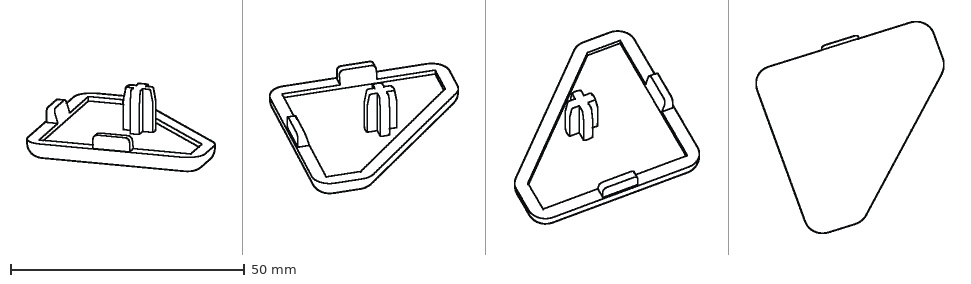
import cadquery as cq

side = 40.0
plate_height = 3.9
diagonal_sum = 51.85
corner_radius = 4.0
bottom_radius = 3.0

rim_width = 2.9
recess_depth = 1.0

total_height = 12.5
post_radius = 3.5
post_top_radius = 2.95
arm_width = 2.1
taper_start = 9.5
post_top_fillet = 0.5

catch_length = 8.25
catch_height = 3.1
catch_setback = 0.3
catch_top_width = 1.7
catch_corner_radius = 1.0

center = side / 2
recess_floor = plate_height - recess_depth


def make_plate():
    short_side = diagonal_sum - side
    outline = [(0, 0), (side, 0), (side, short_side), (short_side, side), (0, side)]
    plate = cq.Workplane("XY").polyline(outline).close().extrude(plate_height)
    return plate.edges("|Z").fillet(corner_radius).faces("<Z").edges().fillet(bottom_radius)


def make_recess():
    low = rim_width
    high = side - rim_width
    corner = diagonal_sum - rim_width * 2**0.5 - high
    outline = [(low, low), (high, low), (high, corner), (corner, high), (low, high)]
    return cq.Workplane("XY").workplane(offset=recess_floor).polyline(outline).close().extrude(recess_depth)


def make_post():
    envelope = (
        cq.Workplane("XZ")
        .moveTo(0, recess_floor)
        .lineTo(post_radius, recess_floor)
        .lineTo(post_radius, taper_start)
        .lineTo(post_top_radius, total_height)
        .lineTo(0, total_height)
        .close()
        .revolve(360, (0, 0), (0, 1))
        .faces(">Z")
        .edges()
        .fillet(post_top_fillet)
    )
    height = total_height - recess_floor
    base = cq.Workplane("XY").workplane(offset=recess_floor)
    arm_x = base.rect(2 * post_radius, arm_width).extrude(height)
    arm_y = base.rect(arm_width, 2 * post_radius).extrude(height)
    return envelope.intersect(arm_x.union(arm_y)).translate((center, center, 0))


def make_catch():
    """Catch on the x = 0 edge; its inner face slopes down to the inside of the rim."""
    top = plate_height + catch_height
    profile = [
        (catch_setback, plate_height),
        (rim_width, plate_height),
        (catch_setback + catch_top_width, top),
        (catch_setback, top),
    ]
    wedge = cq.Workplane("XZ").polyline(profile).close().extrude(catch_length / 2, both=True)
    rounded_block = (
        cq.Workplane("XY")
        .workplane(offset=plate_height)
        .rect(2 * rim_width, catch_length)
        .extrude(catch_height)
        .edges("|X and >Z")
        .fillet(catch_corner_radius)
    )
    return wedge.intersect(rounded_block).translate((0, center, 0))


left_catch = make_catch()
front_catch = left_catch.rotate((0, 0, 0), (0, 0, 1), 90).mirror("YZ")

result = make_plate().cut(make_recess()).union(make_post()).union(left_catch).union(front_catch)